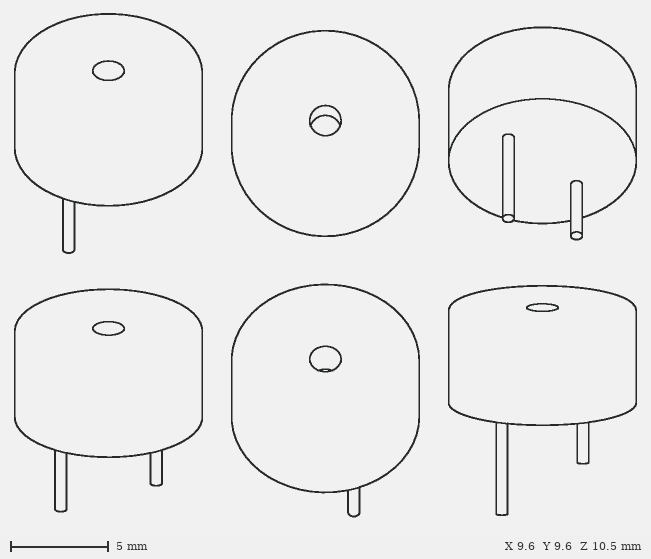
import cadquery as cq

body_diameter = 9.6
total_height = 10.5
long_pin_length = 5.5
body_height = total_height - long_pin_length
top_edge_radius = 0.2

hole_diameter = 1.6
hole_depth = 2.0

pin_diameter = 0.6
short_pin_length = 3.5
pin_spacing = 5.0


def make_body():
    """Cylinder with a rounded top rim and a central blind hole."""
    body = cq.Workplane("XY").circle(body_diameter / 2).extrude(body_height)
    body = body.faces(">Z").edges().fillet(top_edge_radius)
    return body.faces(">Z").workplane().hole(hole_diameter, hole_depth)


def make_pin(y, length):
    """Straight round pin hanging down from the underside."""
    return cq.Workplane("XY").center(0, y).circle(pin_diameter / 2).extrude(-length)


result = (
    make_body()
    .union(make_pin(-pin_spacing / 2, long_pin_length))
    .union(make_pin(pin_spacing / 2, short_pin_length))
)